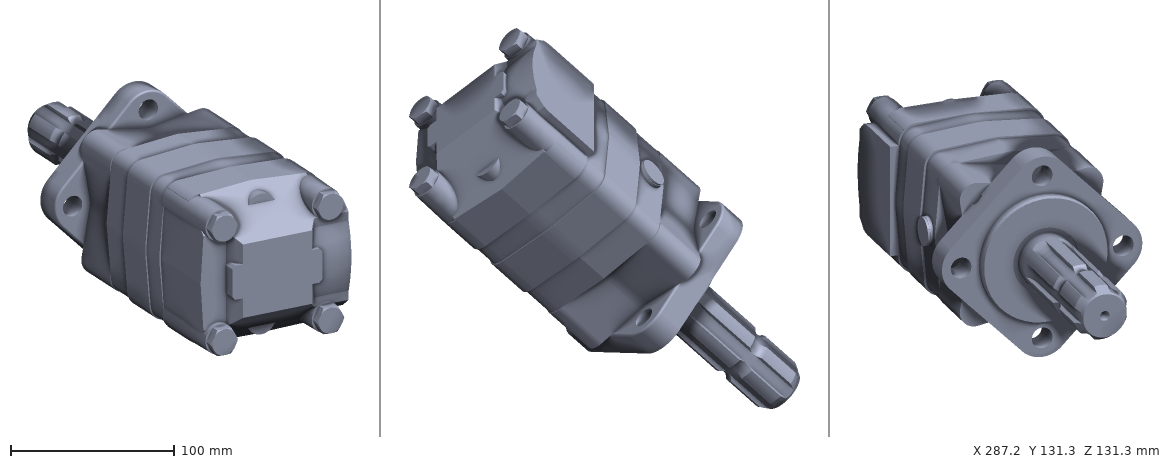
import cadquery as cq
import math


pilot_front = 101.0
flange_front = 107.5
flange_back = 125.5
step_face = 161.7
housing_back = 184.5
gear_ring_back = 212.2
plate_back = 228.3
slope_start = 254.0
cover_shoulder = 278.0
boss_end = 281.2
cover_end = 286.5
total_length = 287.2

shaft_d = 35.5
journal_d = 35.0
journal_start = 100.0
spline_root_d = 29.5
tooth_width = 8.5
tooth_count = 6
tip_d = 28.1
tip_chamfer_length = 7.0
slot_straight_end = 75.8
slot_end = 92.5
lock_groove_x = 38.2
lock_groove_d = 13.5
lock_groove_root_d = 30.5
center_mouth_d = 6.3
center_drill_d = 2.2
center_cone_depth = 3.5
center_drill_depth = 7.0

flange_span = 131.3
flange_corner_r = 18.5
flange_edge_r = 1.5
mount_hole_d = 13.5
mount_hole_radius = 53.0
pilot_d = 82.5
pilot_chamfer_length = 2.0
pilot_chamfer_depth = 1.0
seal_recess_d = 42.5
seal_recess_depth = 1.7

neck_section = dict(middle=40.8, corner=49.5, corner_r=10.3, middle_r=17.2)
rear_section = dict(middle=49.7, corner=45.7, corner_r=9.5)
gear_ring_section = dict(middle=51.0, corner=47.0, corner_r=11.2, middle_r=57.5)
plate_section = dict(middle=50.3, corner=46.2, corner_r=10.5, middle_r=57.5)

bolt_offset = 37.3
bolt_d = 8.3
bolt_tip = flange_back
bolt_hole_end = 122.3
drill_point_length = 2.3
head_flats = 17.0
head_chamfer = 1.0

plug_x = 173.8
plug_d = 18.7
plug_head_d = 18.0
plug_seat = 47.0
plug_rim_top = 51.5
plug_top = 52.8

cover_peak_z = 50.8
cover_peak_y = 49.0
cover_top_edge = (37.0, 49.0)
cover_corner_bend = (41.0, 48.0)
cover_corner_edge = (44.2, 45.7)
cover_side_edge = (46.8, 35.5)
slope_end_half = 24.0
boss_root_d = 21.3
boss_end_d = 20.0
corner_end = 254.7
port_face_y = 53.5
port_half_width = 36.0
port_round_start = 266.8
port_round_end = 277.1
port_round_drop = 2.5
port_end = 280.5
port_lobe_end = 284.0
port_lobe_half_width = 23.0
top_bump_r = 10.3
top_bump_z = 36.0
top_bump_end = 266.8
end_rib_width = 18.5
end_rib_chamfer = 2.0
end_rib_y = 31.5

bolt_places = [(sy * bolt_offset, sz * bolt_offset) for sy in (-1, 1) for sz in (-1, 1)]


def yz_plane(x):
    """Sketch plane normal to the shaft axis, with local axes along Y and Z."""
    return cq.Workplane("YZ", origin=(x, 0, 0))


def rod(x0, x1, diameter, places=((0, 0),)):
    """Cylinders along X at the given (Y, Z) places."""
    return yz_plane(x0).pushPoints(list(places)).circle(diameter / 2).extrude(x1 - x0)


def turned(profile, start_x=None):
    """Solid turned about X from (x, radius) points; the outline closes along the axis.

    With `start_x`, the solid starts in a point there instead of a flat face.
    """
    first_x = profile[0][0] if start_x is None else start_x
    points = [(first_x, 0)] + profile + [(profile[-1][0], 0)]
    return cq.Workplane("XY").polyline(points).close().revolve(360, (0, 0, 0), (1, 0, 0))


def half_way_rise(run, rise):
    """Rise at half the run of an arc that starts level and rises by `rise` over `run`."""
    radius = (run**2 + rise**2) / (2 * rise)
    return radius - math.sqrt(radius**2 - (run / 2) ** 2)


def four_sided_block(x0, x1, middle, corner, corner_r, middle_r=None):
    """Prism along X with four rounded corners, whose sides bend at their middle.

    The sides bulge where `middle` is above `corner` and are waisted where it is below.
    """
    box = cq.selectors.BoxSelector
    reach = 3
    outline = [
        (middle, 0), (corner, corner), (0, middle), (-corner, corner),
        (-middle, 0), (-corner, -corner), (0, -middle), (corner, -corner),
    ]
    block = yz_plane(x0).polyline(outline).close().extrude(x1 - x0)
    roundings = [(sy * corner, sz * corner, corner_r) for sy in (-1, 1) for sz in (-1, 1)]
    if middle_r:
        roundings += [(y, z, middle_r) for y, z in outline if 0 in (y, z)]
    for y, z, radius in roundings:
        low = (x0 - reach, y - reach, z - reach)
        high = (x1 + reach, y + reach, z + reach)
        block = block.edges("|X").edges(box(low, high)).fillet(radius)
    return block


def spline_slot():
    """Cutter for the slot between two teeth, on the +Z side, with a curved runout."""
    root = spline_root_d / 2
    clear = 1.2 * shaft_d / 2
    run = slot_end - slot_straight_end
    mid_x = slot_straight_end + run / 2
    mid_z = root + half_way_rise(run, shaft_d / 2 - root)
    side = (
        cq.Workplane("XZ")
        .moveTo(-3, root)
        .lineTo(slot_straight_end, root)
        .threePointArc((mid_x, mid_z), (slot_end, shaft_d / 2))
        .lineTo(slot_end, clear)
        .lineTo(-3, clear)
        .close()
        .extrude(shaft_d / 2, both=True)
    )
    half_step = math.pi / tooth_count
    apex_z = tooth_width / 2 / math.sin(half_step)
    half_top = (clear - apex_z) * math.tan(half_step)
    wedge = (
        yz_plane(-3)
        .polyline([(0, apex_z), (half_top, clear), (-half_top, clear)])
        .close()
        .extrude(slot_end + 3)
    )
    return side.intersect(wedge)


def lock_groove():
    """Ring of round section for the locking groove in the splines."""
    ring_r = (lock_groove_root_d + lock_groove_d) / 2
    return (
        cq.Workplane("XY")
        .center(lock_groove_x, ring_r)
        .circle(lock_groove_d / 2)
        .revolve(360, (0, -ring_r, 0), (1, -ring_r, 0))
    )


def make_shaft():
    body = turned([
        (0, tip_d / 2),
        (tip_chamfer_length, shaft_d / 2),
        (journal_start, shaft_d / 2),
        (journal_start, journal_d / 2),
        (step_face, journal_d / 2),
    ])
    slot = spline_slot()
    step = 360 / tooth_count
    for i in range(tooth_count):
        body = body.cut(slot.rotate((0, 0, 0), (1, 0, 0), (i + 0.5) * step))
    center_hole = turned([
        (0, center_mouth_d / 2),
        (center_cone_depth, center_drill_d / 2),
        (center_drill_depth, center_drill_d / 2),
    ])
    return body.cut(lock_groove()).cut(center_hole)


def make_flange():
    """Rounded square standing on its corner, with a mounting hole in each corner."""
    half_side = (flange_span / 2 + flange_corner_r * (math.sqrt(2) - 1)) / math.sqrt(2)
    plate = (
        yz_plane(flange_front)
        .rect(2 * half_side, 2 * half_side)
        .extrude(flange_back - flange_front)
        .edges("|X")
        .fillet(flange_corner_r)
        .faces(">X")
        .edges()
        .fillet(flange_edge_r)
        .rotate((0, 0, 0), (1, 0, 0), 45)
    )
    holes = (
        yz_plane(flange_front)
        .polarArray(mount_hole_radius, 0, 360, 4)
        .circle(mount_hole_d / 2)
        .extrude(flange_back - flange_front)
    )
    return plate.cut(holes)


def make_pilot():
    return turned([
        (pilot_front, pilot_d / 2 - pilot_chamfer_depth),
        (pilot_front + pilot_chamfer_length, pilot_d / 2),
        (flange_front, pilot_d / 2),
    ])


def bolt_bore():
    """Bolt hole with a drill point, along the X axis."""
    return turned([(bolt_hole_end, bolt_d / 2), (boss_end, bolt_d / 2)], bolt_hole_end - drill_point_length)


def cut_bolt_bores(body):
    for y, z in bolt_places:
        body = body.cut(bolt_bore().translate((0, y, z)))
    return body


def plug_part(y0, y1, diameter):
    """Disc of the drain plug between two heights along Y."""
    return cq.Workplane("XZ", origin=(plug_x, y0, 0)).circle(diameter / 2).extrude(y0 - y1)


def make_housing():
    neck = four_sided_block(flange_back, step_face, **neck_section)
    rear = four_sided_block(step_face, housing_back, **rear_section)
    body = make_flange().union(make_pilot()).union(neck).union(rear)
    body = body.cut(rod(pilot_front, step_face, journal_d))
    body = body.cut(rod(pilot_front, pilot_front + seal_recess_depth, seal_recess_d))
    body = body.cut(plug_part(plug_seat, plug_top, plug_d))
    return cut_bolt_bores(body)


def make_drain_plug():
    rim = plug_part(plug_seat, plug_rim_top, plug_d)
    return rim.union(plug_part(plug_rim_top, plug_top, plug_head_d))


def make_gear_ring():
    return cut_bolt_bores(four_sided_block(housing_back, gear_ring_back, **gear_ring_section))


def make_channel_plate():
    return cut_bolt_bores(four_sided_block(gear_ring_back, plate_back, **plate_section))


def cover_core():
    """Main block of the cover, symmetric in Y and Z."""
    quarter = (
        yz_plane(plate_back)
        .lineTo(0, cover_peak_z)
        .lineTo(*cover_top_edge)
        .threePointArc(cover_corner_bend, cover_corner_edge)
        .lineTo(*cover_side_edge)
        .lineTo(cover_peak_y, 0)
        .close()
        .extrude(cover_shoulder - plate_back)
    )
    half = quarter.union(quarter.mirror("XZ"))
    return half.union(half.mirror("XY"))


def slope_limit(plane):
    """Space between the two sloping faces, which close in toward the cover's end."""
    return (
        cq.Workplane(plane)
        .polyline([
            (plate_back, -cover_peak_z), (slope_start, -cover_peak_z), (cover_end, -slope_end_half),
            (cover_end, slope_end_half), (slope_start, cover_peak_z), (plate_back, cover_peak_z),
        ])
        .close()
        .extrude(port_face_y, both=True)
    )


def port_block():
    """Raised port pad on the +Y side, with rounded rear corners and a round lobe at its end."""
    low = port_half_width - port_round_drop
    run = port_round_end - port_round_start
    mid_x = port_round_start + run / 2
    mid_z = port_half_width - half_way_rise(run, port_round_drop)
    return (
        cq.Workplane("XZ")
        .moveTo(plate_back, -port_half_width)
        .lineTo(port_round_start, -port_half_width)
        .threePointArc((mid_x, -mid_z), (port_round_end, -low))
        .lineTo(port_end, -low)
        .lineTo(port_end, -port_lobe_half_width)
        .threePointArc((port_lobe_end, 0), (port_end, port_lobe_half_width))
        .lineTo(port_end, low)
        .lineTo(port_round_end, low)
        .threePointArc((mid_x, mid_z), (port_round_start, port_half_width))
        .lineTo(plate_back, port_half_width)
        .close()
        .extrude(-port_face_y)
    )


def corner_relief(y, z):
    """Cutter that removes a cover corner outward of its bolt, behind the corner's end."""
    size = cover_end - corner_end
    center = (corner_end + size / 2, y + math.copysign(size / 2, y), z + math.copysign(size / 2, z))
    return cq.Workplane("XY").box(size, size, size).translate(center)


def bolt_boss():
    """Drafted boss around one bolt, along the X axis."""
    return turned([
        (plate_back, boss_root_d / 2),
        (slope_start, boss_root_d / 2),
        (boss_end, boss_end_d / 2),
    ])


def make_end_cover():
    end_pad = slope_limit("XZ").intersect(slope_limit("XY"))
    end_pad = end_pad.intersect(rod(cover_shoulder, cover_end, 2 * cover_peak_z))
    rib_root_width = end_rib_width + 2 * end_rib_chamfer
    ribs = (
        yz_plane(cover_shoulder)
        .rect(2 * end_rib_y, rib_root_width)
        .extrude(cover_end - cover_shoulder)
        .edges("|X")
        .chamfer(end_rib_chamfer)
    )
    body = cover_core().union(port_block()).intersect(slope_limit("XZ"))
    body = body.union(end_pad).union(ribs)
    bump_places = [(0, top_bump_z), (0, -top_bump_z)]
    body = body.union(rod(slope_start, top_bump_end, 2 * top_bump_r, bump_places))
    for y, z in bolt_places:
        body = body.cut(corner_relief(y, z))
        body = body.union(bolt_boss().translate((0, y, z)))
    return cut_bolt_bores(body)


def make_bolt(y, z):
    """Hexagon bolt with corners toward +Y and -Y."""
    across_corners = head_flats / math.cos(math.pi / 6)
    head = yz_plane(boss_end).polygon(6, across_corners).extrude(total_length - boss_end)
    chamfer_limit = turned([
        (boss_end, across_corners / 2),
        (total_length - head_chamfer, across_corners / 2),
        (total_length, head_flats / 2),
    ])
    bolt = head.intersect(chamfer_limit).union(rod(bolt_tip, boss_end, bolt_d))
    return bolt.translate((0, y, z))


shaft = make_shaft()
housing = make_housing()
drain_plug = make_drain_plug()
gear_ring = make_gear_ring()
channel_plate = make_channel_plate()
end_cover = make_end_cover()
bolts = [make_bolt(y, z) for y, z in bolt_places]

result = cq.Compound.makeCompound([
    shaft.val(),
    housing.val(),
    drain_plug.val(),
    gear_ring.val(),
    channel_plate.val(),
    end_cover.val(),
    *[bolt.val() for bolt in bolts],
])